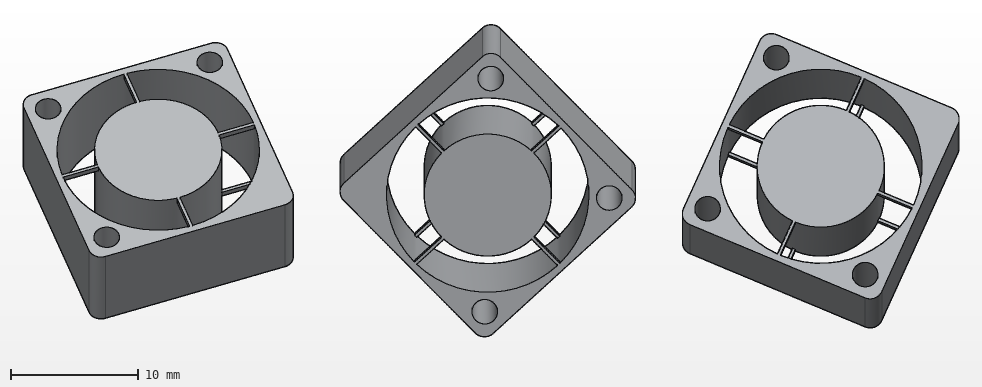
import cadquery as cq

side = 17
height = 8.0
corner_radius = 1.0
bore_diameter = 15.9

hole_diameter = 2.0
hole_offset = 6.75
hole_centers = [
    (-hole_offset, hole_offset),
    (-hole_offset, -hole_offset),
    (hole_offset, -hole_offset),
]

hub_diameter = 10.0
spoke_width = 0.25
spoke_depth = 0.5
spoke_count = 4
spoke_overlap = 0.17
spoke_start = hub_diameter / 2 - spoke_overlap
spoke_length = (bore_diameter - hub_diameter) / 2 + 2 * spoke_overlap


def make_frame():
    """Square block with rounded corners, a large bore and three corner holes."""
    block = cq.Workplane("XY").box(side, side, height, centered=(True, True, False))
    block = block.edges("|Z").fillet(corner_radius)
    block = block.faces(">Z").workplane().hole(bore_diameter)
    return block.faces(">Z").workplane().pushPoints(hole_centers).hole(hole_diameter)


def make_spokes(base_z):
    """Pinwheel of spokes, each with one long side on a centre line of the bore."""
    spoke = (
        cq.Workplane("XY")
        .box(spoke_length, spoke_width, spoke_depth, centered=False)
        .translate((spoke_start, -spoke_width, base_z))
    )
    spokes = cq.Workplane("XY")
    for index in range(spoke_count):
        angle = index * 360 / spoke_count
        spokes = spokes.add(spoke.rotate((0, 0, 0), (0, 0, 1), angle))
    return spokes.combine()


hub = cq.Workplane("XY").circle(hub_diameter / 2).extrude(height)

bottom_spokes = make_spokes(0)
top_spokes = make_spokes(height - spoke_depth)

result = make_frame().union(hub).union(bottom_spokes).union(top_spokes)